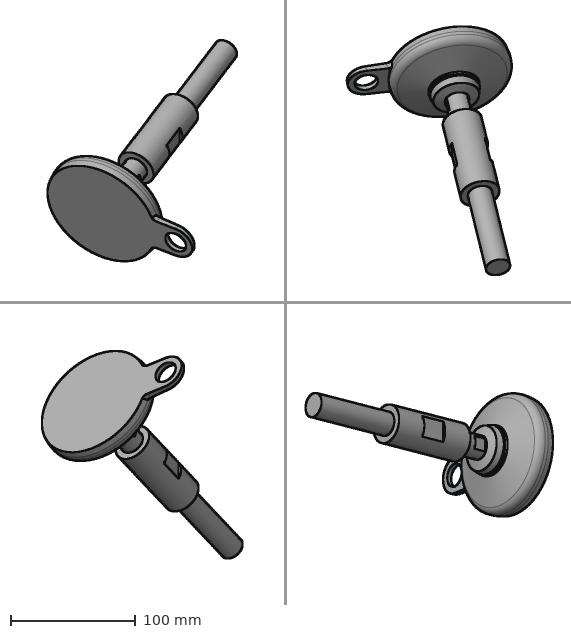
import cadquery as cq
import math

TOTAL_LENGTH = 210.0

PLATE_RADIUS = 100.0 / 2
BASE_RADIUS = 49.1
RIM_START = 5.9
RIM_END = 9.0
SHOULDER_RADIUS = 7.4
CONE_TOP_RADIUS = 21.0
CONE_TOP = 24.0
NECK_RADIUS = 19.7
NECK_START = 25.5
NECK_END = 26.9

LUG_REACH = 133.0 - PLATE_RADIUS
LUG_RADIUS = 15.1
LUG_CENTER = LUG_REACH - LUG_RADIUS
LUG_HOLE_DIAMETER = 19.0
LUG_ROOT_FILLET = 5.5
LUG_ROOT_THICKNESS = 5.7
LUG_TIP_THICKNESS = 4.0

STEM_RADIUS = 20.0 / 2
SLEEVE_RADIUS = 32.0 / 2
SLEEVE_START = 58.5
SLEEVE_END = 133.5
SLEEVE_FLATS_START = 85.3
SLEEVE_FLATS_END = 107.0
SLEEVE_ACROSS_FLATS = 26.9
SHANK_FLATS_START = 37.0
SHANK_FLATS_END = 48.3
SHANK_ACROSS_FLATS = 16.8

COLLAR_BASE_RADIUS = 20.5
COLLAR_RIM_RADIUS = 18.7
COLLAR_RIM = 33.5
COLLAR_TOP = 36.3


def make_turned_foot():
    """Plate, cone, neck, collar and stem as one turned profile."""
    center_radius = PLATE_RADIUS - SHOULDER_RADIUS
    run = center_radius - CONE_TOP_RADIUS
    rise = CONE_TOP - RIM_END
    to_cone_top = math.atan2(rise, -run)
    tangent = to_cone_top - math.acos(SHOULDER_RADIUS / math.hypot(run, rise))

    def shoulder_point(angle):
        return (center_radius + SHOULDER_RADIUS * math.cos(angle),
                RIM_END + SHOULDER_RADIUS * math.sin(angle))

    profile = (
        cq.Workplane("XY")
        .lineTo(BASE_RADIUS, 0)
        .lineTo(PLATE_RADIUS, RIM_START)
        .lineTo(PLATE_RADIUS, RIM_END)
        .threePointArc(shoulder_point(tangent / 2), shoulder_point(tangent))
        .lineTo(CONE_TOP_RADIUS, CONE_TOP)
        .lineTo(NECK_RADIUS, NECK_START)
        .lineTo(NECK_RADIUS, NECK_END)
        .lineTo(COLLAR_BASE_RADIUS, NECK_END)
        .lineTo(COLLAR_RIM_RADIUS, COLLAR_RIM)
        .lineTo(STEM_RADIUS, COLLAR_TOP)
        .lineTo(STEM_RADIUS, TOTAL_LENGTH)
        .lineTo(0, TOTAL_LENGTH)
    )
    return profile.close().revolve(360, (0, 0, 0), (0, 1, 0))


def make_lug():
    """Round-ended lug with filleted root, thinning towards its tip."""
    fillet_z = LUG_RADIUS + LUG_ROOT_FILLET
    fillet_reach = BASE_RADIUS + LUG_ROOT_FILLET
    fillet_x = math.sqrt(fillet_reach**2 - fillet_z**2)
    root_x = fillet_x * BASE_RADIUS / fillet_reach
    root_z = fillet_z * BASE_RADIUS / fillet_reach
    middle_angle = (math.atan2(-fillet_z, -fillet_x) - math.pi / 2) / 2
    middle_x = fillet_x + LUG_ROOT_FILLET * math.cos(middle_angle)
    middle_z = fillet_z + LUG_ROOT_FILLET * math.sin(middle_angle)

    outline = (
        cq.Workplane("XZ")
        .lineTo(root_x, -root_z)
        .threePointArc((middle_x, -middle_z), (fillet_x, -LUG_RADIUS))
        .lineTo(LUG_CENTER, -LUG_RADIUS)
        .threePointArc((LUG_REACH, 0), (LUG_CENTER, LUG_RADIUS))
        .lineTo(fillet_x, LUG_RADIUS)
        .threePointArc((middle_x, middle_z), (root_x, root_z))
        .close()
        .extrude(-RIM_END)
    )
    wedge = (
        cq.Workplane("XY")
        .lineTo(LUG_REACH, 0)
        .lineTo(LUG_REACH, LUG_TIP_THICKNESS)
        .lineTo(PLATE_RADIUS, LUG_ROOT_THICKNESS)
        .lineTo(0, LUG_ROOT_THICKNESS)
        .close()
        .extrude(PLATE_RADIUS, both=True)
    )
    hole = (
        cq.Workplane("XZ")
        .center(LUG_CENTER, 0)
        .circle(LUG_HOLE_DIAMETER / 2)
        .extrude(-RIM_END)
    )
    return outline.intersect(wedge).cut(hole)


def cut_flats(body, start, end, across_flats):
    """Cut two parallel wrench flats, facing -X and +X."""
    depth = SLEEVE_RADIUS
    for side in (-1, 1):
        cutter = (
            cq.Workplane("XY")
            .box(depth, end - start, 2 * SLEEVE_RADIUS)
            .translate((side * (across_flats + depth) / 2, (start + end) / 2, 0))
        )
        body = body.cut(cutter)
    return body


def make_foot():
    """Foot plate with its lug and its stem, which has flats just above the collar."""
    turned = make_turned_foot()
    turned = cut_flats(turned, SHANK_FLATS_START, SHANK_FLATS_END, SHANK_ACROSS_FLATS)
    return turned.union(make_lug())


def make_sleeve():
    """Sleeve bored to fit the stem, with flats halfway along it."""
    sleeve = (
        cq.Workplane("XZ", origin=(0, SLEEVE_START, 0))
        .circle(SLEEVE_RADIUS)
        .circle(STEM_RADIUS)
        .extrude(SLEEVE_START - SLEEVE_END)
    )
    return cut_flats(sleeve, SLEEVE_FLATS_START, SLEEVE_FLATS_END, SLEEVE_ACROSS_FLATS)


foot = make_foot()
sleeve = make_sleeve()
result = cq.Compound.makeCompound([*foot.solids().vals(), *sleeve.solids().vals()])